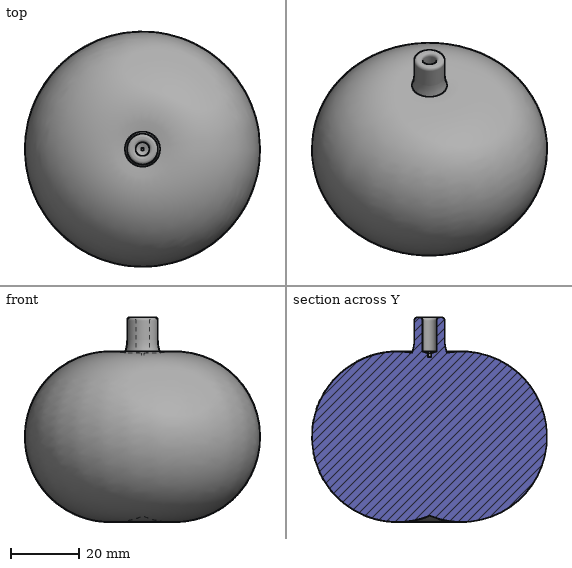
import cadquery as cq
import math

body_diameter = 68.9
body_height = 50.0
total_height = 60.0
stem_diameter = 9.0
rim_radius = 1.0
flare_top_z = 53.3
flare_radius = 11.0
flare_foot_z = 49.25
bore_diameter = 4.0
bore_depth = 10.0
pilot_diameter = 0.8
pilot_depth = 1.0
drill_tip_angle = 140.0

section_radius = body_height / 2
section_offset = body_diameter / 2 - section_radius
pole_rise = math.sqrt(section_radius**2 - section_offset**2)

stem_radius = stem_diameter / 2
bore_radius = bore_diameter / 2
pilot_radius = pilot_diameter / 2


def make_body():
    """Apple-shaped solid resting on z = 0, dimpled at both poles."""
    profile = (
        cq.Workplane("XZ")
        .moveTo(0, section_radius - pole_rise)
        .threePointArc((body_diameter / 2, section_radius), (0, section_radius + pole_rise))
        .close()
    )
    return profile.revolve(360, (0, 0, 0), (0, 1, 0))


def flare_point(z):
    """Point on the concave flare, tangent to the straight stem at its top."""
    drop = flare_top_z - z
    radius = stem_radius + flare_radius - math.sqrt(flare_radius**2 - drop**2)
    return (radius, z)


def make_stem():
    """Round stem with a flared foot, running down into the body."""
    flare_middle_z = (flare_top_z + flare_foot_z) / 2
    foot = flare_point(flare_foot_z)
    profile = (
        cq.Workplane("XZ")
        .moveTo(0, section_radius)
        .lineTo(foot[0], section_radius)
        .lineTo(*foot)
        .threePointArc(flare_point(flare_middle_z), (stem_radius, flare_top_z))
        .lineTo(stem_radius, total_height)
        .lineTo(0, total_height)
        .close()
    )
    return profile.revolve(360, (0, 0, 0), (0, 1, 0))


def make_bore():
    """Bore with a conical bottom that narrows into a short blind pilot hole."""
    shoulder_z = total_height - bore_depth
    cone_depth = (bore_radius - pilot_radius) / math.tan(math.radians(drill_tip_angle / 2))
    pilot_top_z = shoulder_z - cone_depth
    profile = (
        cq.Workplane("XZ")
        .moveTo(0, total_height)
        .lineTo(bore_radius, total_height)
        .lineTo(bore_radius, shoulder_z)
        .lineTo(pilot_radius, pilot_top_z)
        .lineTo(pilot_radius, pilot_top_z - pilot_depth)
        .lineTo(0, pilot_top_z - pilot_depth)
        .close()
    )
    return profile.revolve(360, (0, 0, 0), (0, 1, 0))


drilled = make_body().union(make_stem()).cut(make_bore())

result = drilled.faces(">Z").edges().fillet(rim_radius)